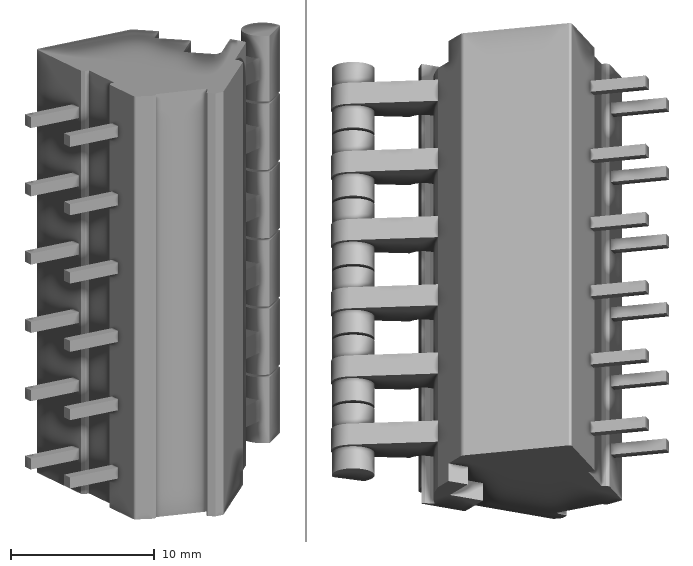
import cadquery as cq
import math

housing_height = 31.0
tab_height = 1.3
pocket_depth = 1.52

pole_count = 6
pole_pitch = 5.0
first_pole_z = 2.85

housing_width = 15.0
back_wall_top = 7.95
base_right = 12.47
base_corner_radius = 0.2
back_corner_radius = 0.42
slope_end_x = 2.45
roof_corner = (6.7, 13.1)
roof_corner_radius = 0.32
step_foot = (9.55, 10.27)
step_left = 9.75
step_top = 10.45
nose_top = 5.75

shoulder_middle = (3.75, 11.08)
shoulder_end = (5.75, 11.63)
notch_points = [(5.72, 11.95), (5.43, 12.25), (5.43, 12.47), (5.62, 12.55)]

hook_points = [(housing_width, 5.1), (14.63, 4.68), (14.47, 4.68), (14.0, 5.1), (13.75, 5.15)]
toe_points = [(12.85, 1.55), (13.02, 1.45), (13.02, 1.15)]

slot_left = 5.9
slot_right = 9.15
slot_depth = 0.52
slot_chamfer = 0.2

zigzag_start_x = 1.35
zigzag_foot_y = 8.25
zigzag_first_leg = 1.1
zigzag_leg = 1.85
zigzag_last_leg = 2.6

pin_x_positions = (5.07, 10.05)
pin_width = 0.75
pin_height = 0.8
pin_length = 4.0
pin_embed = 0.97

arm_thickness = 1.55
arm_tip_center = (2.68, 16.83)
arm_tip_radius = 1.35
arm_tilt = math.radians(10.5)
arm_foot_y = 9.7
arm_foot_right = 5.5
arm_front_top = (4.3, 15.85)
arm_front_bottom = (5.3, 13.28)
arm_hollow_middle = (5.07, 12.5)
arm_hollow_end_y = 11.7
bar_length = 4.8
bar_center = (3.15, 16.75)
bar_radius = 1.5
bar_flat_offset = 0.9
bar_flat_angle = 39.0


def make_housing():
    slope_end = (slope_end_x, back_wall_top + slope_end_x)
    body = (
        cq.Workplane("XY")
        .moveTo(0, 0)
        .lineTo(0, back_wall_top)
        .lineTo(*slope_end)
        .threePointArc(shoulder_middle, shoulder_end)
        .polyline(notch_points, includeCurrent=True)
        .lineTo(*roof_corner)
        .lineTo(*step_foot)
        .lineTo(step_left, step_top)
        .lineTo(housing_width + nose_top - step_top, step_top)
        .lineTo(housing_width, nose_top)
        .polyline(hook_points + toe_points, includeCurrent=True)
        .lineTo(base_right, 0)
        .close()
        .extrude(housing_height)
    )
    body = round_edge(body, (0, 0), base_corner_radius)
    body = round_edge(body, (base_right, 0), base_corner_radius)
    body = round_edge(body, (0, back_wall_top), back_corner_radius)
    return round_edge(body, roof_corner, roof_corner_radius)


def round_edge(body, corner, radius):
    """Round the upright edge that stands on the given corner."""
    edge_middle = (corner[0], corner[1], housing_height / 2)
    return body.edges(cq.selectors.NearestToPointSelector(edge_middle)).fillet(radius)


def make_slot():
    return (
        cq.Workplane("XY")
        .moveTo(slot_left - slot_chamfer, 0)
        .lineTo(slot_left, slot_chamfer)
        .lineTo(slot_left, slot_depth)
        .lineTo(slot_right, slot_depth)
        .lineTo(slot_right, slot_chamfer)
        .lineTo(slot_right + slot_chamfer, 0)
        .close()
        .extrude(housing_height)
    )


def make_zigzag(housing):
    """Full-height slice of the housing between the zigzag line and the outer wall."""
    outside_y = roof_corner[1]
    return (
        cq.Workplane("XY")
        .moveTo(zigzag_start_x, outside_y)
        .lineTo(zigzag_start_x, zigzag_foot_y + zigzag_first_leg)
        .line(zigzag_first_leg, -zigzag_first_leg)
        .line(zigzag_leg, zigzag_leg)
        .line(zigzag_leg, -zigzag_leg)
        .line(zigzag_leg, zigzag_leg)
        .line(-zigzag_last_leg, zigzag_last_leg)
        .close()
        .extrude(housing_height)
        .intersect(housing)
    )


def make_lever(z):
    tip_x, tip_y = arm_tip_center
    tangent = (
        tip_x - arm_tip_radius * math.cos(arm_tilt),
        tip_y - arm_tip_radius * math.sin(arm_tilt),
    )
    arc_middle = (
        tip_x - arm_tip_radius * math.sin(math.pi / 4),
        tip_y + arm_tip_radius * math.cos(math.pi / 4),
    )
    foot_x = tangent[0] + (tangent[1] - arm_foot_y) * math.tan(arm_tilt)
    arm = (
        cq.Workplane("XY")
        .workplane(offset=z - arm_thickness / 2)
        .moveTo(foot_x, arm_foot_y)
        .lineTo(*tangent)
        .threePointArc(arc_middle, (tip_x, tip_y + arm_tip_radius))
        .lineTo(*bar_center)
        .lineTo(*arm_front_top)
        .lineTo(*arm_front_bottom)
        .threePointArc(arm_hollow_middle, (arm_foot_right, arm_hollow_end_y))
        .lineTo(arm_foot_right, arm_foot_y)
        .close()
        .extrude(arm_thickness)
    )
    bar_flat = (
        cq.Workplane("XY")
        .box(bar_radius, 2 * bar_radius, bar_length, centered=(False, True, True))
        .translate((bar_flat_offset, 0, 0))
        .rotate((0, 0, 0), (0, 0, 1), bar_flat_angle)
    )
    bar = (
        cq.Workplane("XY")
        .circle(bar_radius)
        .extrude(bar_length / 2, both=True)
        .cut(bar_flat)
        .translate((*bar_center, z))
    )
    return arm.union(bar)


def make_pin(x, z):
    return (
        cq.Workplane("XY")
        .box(pin_width, pin_length + pin_embed, pin_height)
        .translate((x, (pin_embed - pin_length) / 2, z))
    )


housing = make_housing().cut(make_slot())
zigzag = make_zigzag(housing)

pocket = zigzag.translate((0, 0, housing_height - pocket_depth))
tab = zigzag.translate((0, 0, -tab_height))
result = housing.union(tab).cut(pocket)

for pole in range(pole_count):
    pole_z = first_pole_z + pole * pole_pitch
    result = result.union(make_lever(pole_z))
    for pin_x in pin_x_positions:
        result = result.union(make_pin(pin_x, pole_z))